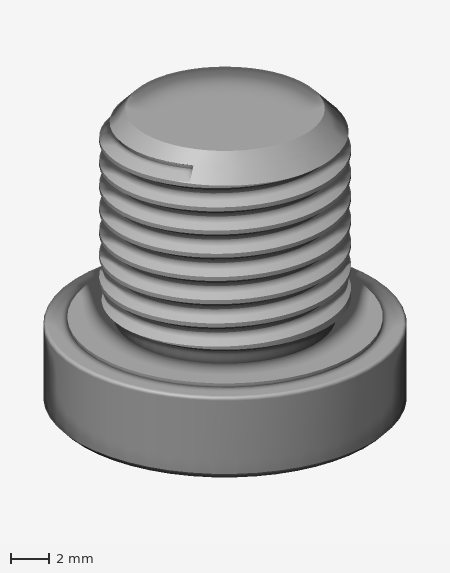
import cadquery as cq
import math

head_diameter = 19.0
head_height = 4.79
head_bottom_chamfer = 0.38
head_top_fillet = 0.19

seat_diameter = 16.5
seat_top = 5.02

total_height = 17.0
major_diameter = 13.17
root_diameter = 11.6
thread_bottom = 5.74
tip_chamfer = 1.37
flank_angle = math.radians(30)

pitch = 1.338
root_width = 0.2
groove_turns = 7.6
groove_top = 16.23
groove_end_angle = 270.0
cutter_overlap = 0.1

major_radius = major_diameter / 2
root_radius = root_diameter / 2


def make_head():
    head = cq.Workplane("XY").circle(head_diameter / 2).extrude(head_height)
    head = head.faces("<Z").edges().chamfer(head_bottom_chamfer)
    head = head.faces(">Z").edges().fillet(head_top_fillet)
    return head.faces(">Z").workplane().circle(seat_diameter / 2).extrude(seat_top - head_height)


def make_shank():
    """Neck, conical thread start and chamfered tip as one revolved outline."""
    start_cone_height = (major_radius - root_radius) * math.tan(flank_angle)
    return (
        cq.Workplane("XZ")
        .moveTo(0, head_height / 2)
        .lineTo(root_radius, head_height / 2)
        .lineTo(root_radius, thread_bottom)
        .lineTo(major_radius, thread_bottom + start_cone_height)
        .lineTo(major_radius, total_height - tip_chamfer)
        .lineTo(major_radius - tip_chamfer, total_height)
        .lineTo(0, total_height)
        .close()
        .revolve(360, (0, 0, 0), (0, 1, 0))
    )


def make_groove():
    """Trapezoid swept up a helix, reaching slightly outside the thread crest."""
    climb = groove_turns * pitch
    outer_radius = major_radius + cutter_overlap
    half_root = root_width / 2
    half_mouth = half_root + (outer_radius - root_radius) * math.tan(flank_angle)
    helix = cq.Wire.makeHelix(pitch, climb, root_radius)
    groove = (
        cq.Workplane("XZ")
        .polyline([
            (root_radius, -half_root),
            (outer_radius, -half_mouth),
            (outer_radius, half_mouth),
            (root_radius, half_root),
        ])
        .close()
        .sweep(cq.Workplane(obj=helix), isFrenet=True)
    )
    start_angle = groove_end_angle - 360 * groove_turns
    return groove.rotate((0, 0, 0), (0, 0, 1), start_angle).translate((0, 0, groove_top - climb))


threaded_shank = make_shank().cut(make_groove())
result = make_head().union(threaded_shank)